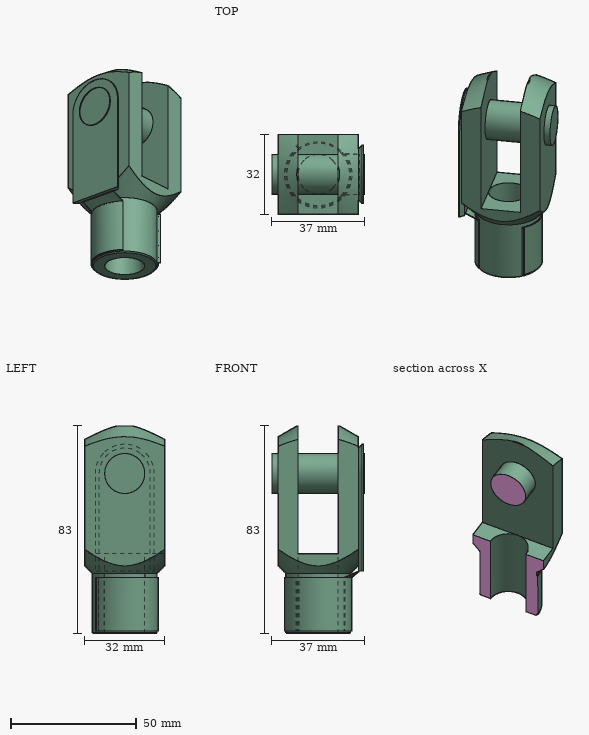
import cadquery as cq
import math

fork_width = 32.0
total_height = 83.0
slot_width = 16.0
slot_floor_z = 32.0
top_flat_radius = 8.6
top_cone_angle = 30.0
shank_radius = 13.0
shank_top_z = 24.1
shank_chamfer = 0.5
bore_diameter = 16.0
envelope_margin = 1.0

pin_diameter = 16.0
pin_length = 37.0
pin_z = 64.0

plate_radius = 11.75
plate_thickness = 2.1
plate_rim = 0.55
plate_bevel = plate_thickness - plate_rim
plate_bottom_z = 25.0
band_thickness = 0.5
band_bottom_z = 1.0
band_top_z = 22.4
strip_half_width = 8.0
lip_angle = 126.0
lip_length = 0.9

half_width = fork_width / 2
band_radius = shank_radius + band_thickness
band_height = band_top_z - band_bottom_z
strip_half_angle = math.degrees(math.asin(strip_half_width / shank_radius))


def polar(radius, angle):
    """XY point at a radius and an angle in degrees from +X."""
    return (radius * math.cos(math.radians(angle)), radius * math.sin(math.radians(angle)))


def make_fork():
    """Square bar trimmed by a turned envelope, then slotted and bored."""
    outer_radius = half_width * math.sqrt(2) + envelope_margin
    top_cone_drop = (outer_radius - top_flat_radius) * math.tan(math.radians(top_cone_angle))
    envelope = (
        cq.Workplane("XZ")
        .moveTo(0, 0)
        .lineTo(shank_radius - shank_chamfer, 0)
        .lineTo(shank_radius, shank_chamfer)
        .lineTo(shank_radius, shank_top_z)
        .lineTo(outer_radius, shank_top_z + outer_radius - shank_radius)
        .lineTo(outer_radius, total_height - top_cone_drop)
        .lineTo(top_flat_radius, total_height)
        .lineTo(0, total_height)
        .close()
        .revolve(360, (0, 0, 0), (0, 1, 0))
    )
    bar = cq.Workplane("XY").rect(fork_width, fork_width).extrude(total_height)
    slot = (
        cq.Workplane("XY", origin=(0, 0, slot_floor_z))
        .rect(slot_width, fork_width)
        .extrude(total_height - slot_floor_z)
    )
    bore = cq.Workplane("XY").circle(bore_diameter / 2).extrude(slot_floor_z)
    return bar.intersect(envelope).cut(slot).cut(bore)


def make_pin():
    """Plain pin through both fork arms."""
    return cq.Workplane("YZ", origin=(-pin_length / 2, 0, pin_z)).circle(pin_diameter / 2).extrude(pin_length)


def make_clip_plate():
    """Round-topped plate whose curved and side edges narrow towards the fork."""
    leg_length = pin_z - plate_bottom_z
    inner_radius = plate_radius - plate_bevel

    def outline(x, radius):
        return (
            cq.Workplane("YZ", origin=(x, 0, pin_z))
            .moveTo(-radius, -leg_length)
            .lineTo(-radius, 0)
            .threePointArc((0, radius), (radius, 0))
            .lineTo(radius, -leg_length)
            .close()
        )

    rim_x = half_width + plate_bevel
    inner_wire = outline(half_width, inner_radius).val()
    rim_wire = outline(rim_x, plate_radius).val()
    bevelled = cq.Workplane(cq.Solid.makeLoft([inner_wire, rim_wire], True))
    return bevelled.union(outline(rim_x, plate_radius).extrude(plate_rim))


def make_band_outline(z, start_angle, end_angle):
    """Ring segment that hugs the shank between two angles."""
    middle_angle = (start_angle + end_angle) / 2
    return (
        cq.Workplane("XY", origin=(0, 0, z))
        .moveTo(*polar(shank_radius, start_angle))
        .threePointArc(polar(shank_radius, middle_angle), polar(shank_radius, end_angle))
        .lineTo(*polar(band_radius, end_angle))
        .threePointArc(polar(band_radius, middle_angle), polar(band_radius, start_angle))
        .close()
    )


def make_clip_band():
    """Open band around the shank with an outward lip at its free end."""
    band = make_band_outline(band_bottom_z, strip_half_angle, lip_angle - 360).extrude(band_height)
    lip = (
        cq.Workplane("XY", origin=(0, 0, band_bottom_z))
        .moveTo(shank_radius, 0)
        .rect(band_thickness + lip_length, band_thickness, centered=(False, False))
        .extrude(band_height)
        .rotate((0, 0, 0), (0, 0, 1), lip_angle)
    )
    return band.union(lip)


def make_clip_strip():
    """Sloping strip from the straight lower edge of the plate to the curved band."""
    lower_wire = make_band_outline(band_top_z, -strip_half_angle, strip_half_angle).val()
    upper_wire = (
        cq.Workplane("XY", origin=(0, 0, plate_bottom_z))
        .moveTo(half_width, -strip_half_width)
        .lineTo(half_width, strip_half_width)
        .lineTo(half_width + band_thickness, strip_half_width)
        .lineTo(half_width + band_thickness, -strip_half_width)
        .close()
        .val()
    )
    return cq.Workplane(cq.Solid.makeLoft([lower_wire, upper_wire], True))


result = (
    make_fork()
    .union(make_pin())
    .union(make_clip_plate())
    .union(make_clip_band())
    .union(make_clip_strip())
)